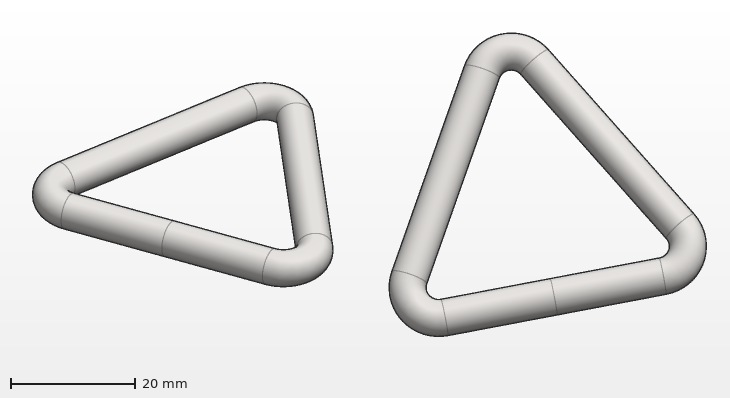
import cadquery as cq
import math

bar_diameter = 6.0
inner_bend_radius = 2.0
opening_height = 35.0

corner_angle = math.radians(60)
bend_radius = inner_bend_radius + bar_diameter / 2

center_height = opening_height - 2 * inner_bend_radius
center_spacing = center_height / math.sin(corner_angle)
base_y = -(center_height / 2 + bend_radius)

right_center = (center_spacing / 2, -center_height / 2)
top_center = (0, center_height / 2)
left_center = (-center_spacing / 2, -center_height / 2)


def point_on_bend(center, angle_degrees):
    """Centerline point at the given angle around a bend center."""
    angle = math.radians(angle_degrees)
    return (
        center[0] + bend_radius * math.cos(angle),
        center[1] + bend_radius * math.sin(angle),
    )


def bar_centerline():
    """Closed counterclockwise path starting at the middle of the bottom bar."""
    path = cq.Workplane("XY").moveTo(0, base_y)
    bend_start = -90
    bend_sweep = 120
    for center in (right_center, top_center, left_center):
        bend_end = bend_start + bend_sweep
        bend_middle = bend_start + bend_sweep / 2
        path = path.lineTo(*point_on_bend(center, bend_start))
        path = path.threePointArc(point_on_bend(center, bend_middle), point_on_bend(center, bend_end))
        bend_start = bend_end
    return path.close()


bar_section = cq.Workplane("YZ").center(base_y, 0).circle(bar_diameter / 2)
result = bar_section.sweep(bar_centerline(), clean=False)